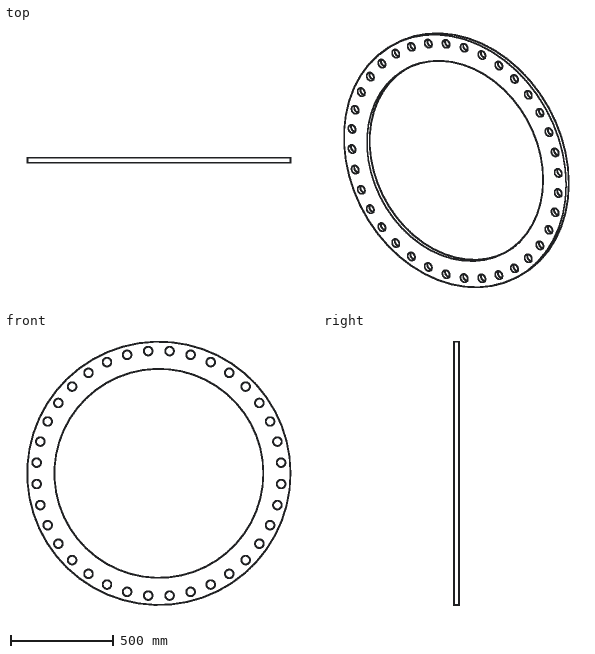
import cadquery as cq

OUTER_DIAMETER = 1289.05
BORE_DIAMETER = 1020.83
THICKNESS = 25.4
BOLT_CIRCLE_DIAMETER = 1200.15
BOLT_HOLE_DIAMETER = 41.275
BOLT_HOLE_COUNT = 36

BOLT_HOLE_PITCH_ANGLE = 360.0 / BOLT_HOLE_COUNT
FIRST_HOLE_ANGLE = BOLT_HOLE_PITCH_ANGLE / 2


def back_face_plane():
    """Workplane on the +Y face; extrusions from it run toward -Y."""
    return cq.Workplane("XZ").workplane(offset=-THICKNESS / 2)


def make_ring():
    """Flat ring around the Y axis, centred on the origin."""
    return (
        back_face_plane()
        .circle(OUTER_DIAMETER / 2)
        .circle(BORE_DIAMETER / 2)
        .extrude(THICKNESS)
    )


def make_bolt_holes():
    """Cutters for the through holes, evenly spaced on the bolt circle."""
    return (
        back_face_plane()
        .polarArray(BOLT_CIRCLE_DIAMETER / 2, FIRST_HOLE_ANGLE, 360, BOLT_HOLE_COUNT)
        .circle(BOLT_HOLE_DIAMETER / 2)
        .extrude(THICKNESS)
    )


result = make_ring().cut(make_bolt_holes())